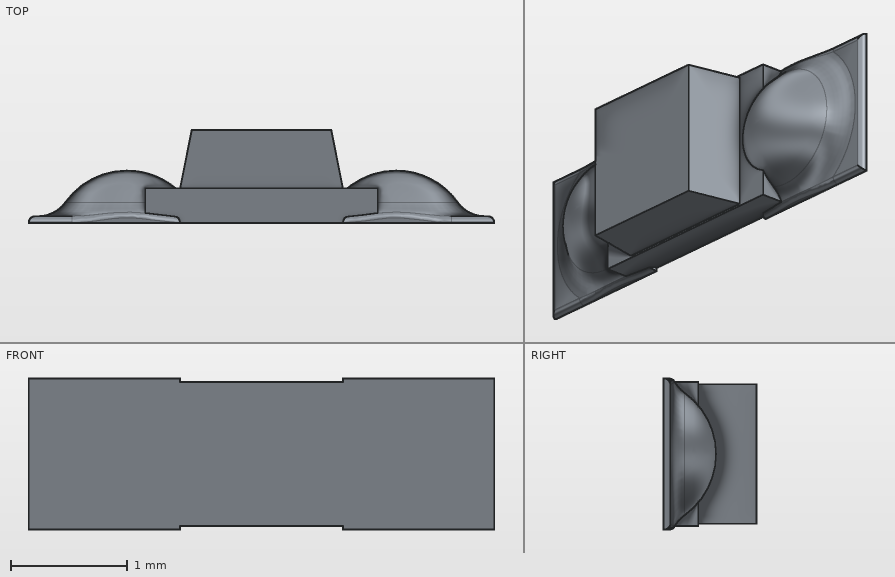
import cadquery as cq
import math

total_length = 4.0
pad_size = 1.3
pad_thickness = 0.06
pad_edge_radius = 0.055
height_tolerance = 0.0005
pad_center_x = (total_length - pad_size) / 2

block_length = 2.0
block_depth = 0.3
block_height = 1.24

dome_center_x = 1.155
dome_peak = 0.45
cap_radius = 0.53
cap_base = 0.18

cap_bottom_length = 1.4
cap_top_length = 1.2
cap_height = 1.2
cap_depth = 0.5


def make_dome(side):
    """Revolve the dome about a Y-parallel axis; side is -1 or +1."""
    cap_rise = dome_peak - cap_base
    sphere_radius = (cap_radius**2 + cap_rise**2) / (2 * cap_rise)
    half_angle = math.asin(cap_radius / sphere_radius) / 2
    middle_x = sphere_radius * math.sin(half_angle)
    middle_y = dome_peak - sphere_radius * (1 - math.cos(half_angle))
    edge_angle = 2 * half_angle
    flare_arc_radius = (cap_base - pad_thickness) / (1 - math.cos(edge_angle))
    flare_radius = cap_radius + flare_arc_radius * math.sin(edge_angle)
    flare_middle = (
        flare_radius - flare_arc_radius * math.sin(half_angle),
        pad_thickness + flare_arc_radius * (1 - math.cos(half_angle)),
    )
    profile = (
        cq.Workplane("XY")
        .moveTo(0, 0)
        .lineTo(0, dome_peak)
        .threePointArc((middle_x, middle_y), (cap_radius, cap_base))
        .threePointArc(flare_middle, (flare_radius, pad_thickness))
        .lineTo(flare_radius, 0)
        .close()
    )
    dome = profile.revolve(360, (0, 0, 0), (0, 1, 0))
    return dome.translate((side * dome_center_x, 0, 0))


def make_inner_rim_cutter(side):
    """Bar that rounds the pad rim facing the block; the block refills all but the exposed ends."""
    inner_x = side * (pad_center_x - pad_size / 2)
    arc_inset = pad_edge_radius * (1 - math.sqrt(0.5))
    return (
        cq.Workplane("XY")
        .moveTo(inner_x, pad_thickness - pad_edge_radius)
        .threePointArc(
            (inner_x + side * arc_inset, pad_thickness - arc_inset),
            (inner_x + side * pad_edge_radius, pad_thickness),
        )
        .lineTo(inner_x + side * pad_edge_radius, block_depth)
        .lineTo(inner_x, block_depth)
        .close()
        .extrude(pad_size, both=True)
    )


def make_pad(side):
    """Square pad with its dome trimmed to the pad outline and its back rims rounded."""
    outline = cq.Workplane("XY").box(pad_size, dome_peak, pad_size, centered=(True, False, True))
    outline = outline.translate((side * pad_center_x, 0, 0))
    plate = cq.Workplane("XY").box(pad_size, pad_thickness, pad_size, centered=(True, False, True))
    plate = plate.translate((side * pad_center_x, 0, 0))
    pad = plate.union(make_dome(side).intersect(outline))
    rim_faces = pad.faces("|Z or " + (">X" if side > 0 else "<X"))
    lowest_rim = pad_thickness - height_tolerance
    rim_edges = [edge for edge in rim_faces.edges().vals() if edge.Center().y >= lowest_rim]
    return pad.newObject(rim_edges).fillet(pad_edge_radius).cut(make_inner_rim_cutter(side))


def make_base():
    """Central block with a domed pad at each end, all one solid."""
    base = cq.Workplane("XY").box(block_length, block_depth, block_height, centered=(True, False, True))
    for side in (-1, 1):
        base = base.union(make_pad(side))
    return base


def make_cap():
    """Trapezoidal cap, narrowing away from the block."""
    top_y = block_depth + cap_depth
    corners = [
        (-cap_bottom_length / 2, block_depth),
        (cap_bottom_length / 2, block_depth),
        (cap_top_length / 2, top_y),
        (-cap_top_length / 2, top_y),
    ]
    return cq.Workplane("XY").polyline(corners).close().extrude(cap_height / 2, both=True)


base = make_base()
cap = make_cap()
result = cq.Compound.makeCompound([base.val(), cap.val()])